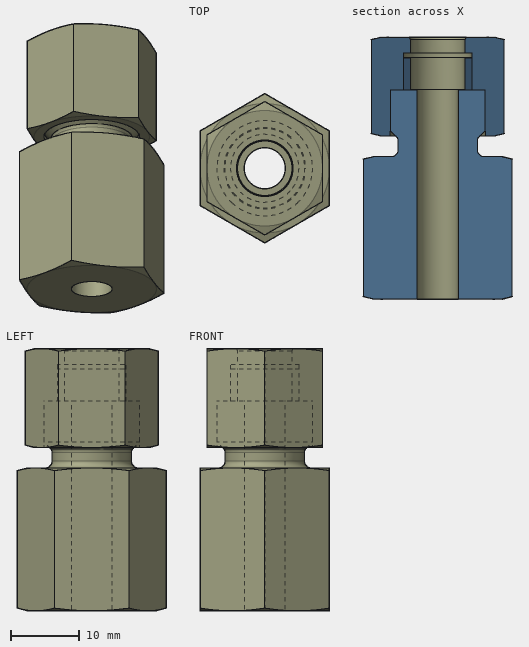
import cadquery as cq
import math

total_height = 38.5
body_hex_height = 21.0
nut_height = 14.5
nut_bottom = total_height - nut_height

body_across_flats = 19.0
nut_across_flats = 16.98
hex_chamfer_angle = 15.0

stud_diameter = 14.0
stud_top = 30.8
neck_diameter = 11.7
neck_fillet = 1.0
relief_arc_bottom = 23.25
relief_arc_angle = 30.0

flow_diameter = 6.0
tube_diameter = 8.0
mouth_chamfer_depth = 0.3
mouth_chamfer_width = 0.15
ferrule_diameter = 10.0
ferrule_top = 35.5
ferrule_gap = 0.65


def cylinder(diameter, bottom, top):
    return cq.Workplane("XY").workplane(offset=bottom).circle(diameter / 2).extrude(top - bottom)


def chamfered_hex(across_flats, bottom, height):
    """Hexagonal prism whose corners are turned off by shallow cones at both ends."""
    flat_radius = across_flats / 2
    corner_radius = flat_radius / math.cos(math.radians(30))
    corner_drop = (corner_radius - flat_radius) * math.tan(math.radians(hex_chamfer_angle))
    top = bottom + height
    prism = (
        cq.Workplane("XY").workplane(offset=bottom)
        .polygon(6, 2 * corner_radius).extrude(height)
        .rotate((0, 0, 0), (0, 0, 1), 30)
    )
    envelope_radius = 2 * corner_radius - flat_radius
    envelope_drop = 2 * corner_drop
    envelope = (
        cq.Workplane("XZ")
        .moveTo(0, bottom)
        .lineTo(flat_radius, bottom)
        .lineTo(envelope_radius, bottom + envelope_drop)
        .lineTo(envelope_radius, top - envelope_drop)
        .lineTo(flat_radius, top)
        .lineTo(0, top)
        .close()
        .revolve(360, (0, 0, 0), (0, 1, 0))
    )
    return prism.intersect(envelope)


def make_stud():
    """Turned stud: filleted foot, relief neck, short arc and 45 degree cone up to full diameter."""
    neck_radius = neck_diameter / 2
    stud_radius = stud_diameter / 2
    arc_center_x = neck_radius + neck_fillet

    def relief_point(angle):
        turn = math.radians(angle)
        return (
            arc_center_x - neck_fillet * math.cos(turn),
            relief_arc_bottom + neck_fillet * math.sin(turn),
        )

    relief_end = relief_point(relief_arc_angle)
    foot_drop = neck_fillet * math.sin(math.radians(45))
    foot_middle = (arc_center_x - foot_drop, body_hex_height + neck_fillet - foot_drop)
    return (
        cq.Workplane("XZ")
        .moveTo(0, body_hex_height)
        .lineTo(arc_center_x, body_hex_height)
        .threePointArc(foot_middle, (neck_radius, body_hex_height + neck_fillet))
        .lineTo(neck_radius, relief_arc_bottom)
        .threePointArc(relief_point(relief_arc_angle / 2), relief_end)
        .lineTo(stud_radius, relief_end[1] + stud_radius - relief_end[0])
        .lineTo(stud_radius, stud_top)
        .lineTo(0, stud_top)
        .close()
        .revolve(360, (0, 0, 0), (0, 1, 0))
    )


def make_body():
    hexagon = chamfered_hex(body_across_flats, 0, body_hex_height)
    return hexagon.union(make_stud()).cut(cylinder(flow_diameter, 0, stud_top))


def make_nut():
    """Union nut: stud bore, ferrule chamber and chamfered tube opening."""
    nut = chamfered_hex(nut_across_flats, nut_bottom, nut_height)
    nut = nut.cut(cylinder(stud_diameter, nut_bottom, stud_top))
    nut = nut.cut(cylinder(ferrule_diameter, stud_top, ferrule_top + ferrule_gap))
    nut = nut.cut(cylinder(tube_diameter, ferrule_top + ferrule_gap, total_height))
    mouth = cq.Solid.makeCone(
        tube_diameter / 2,
        tube_diameter / 2 + mouth_chamfer_width,
        mouth_chamfer_depth,
        pnt=cq.Vector(0, 0, total_height - mouth_chamfer_depth),
    )
    return nut.cut(cq.Workplane(mouth))


def make_ferrule():
    ring = cylinder(ferrule_diameter, stud_top, ferrule_top)
    return ring.cut(cylinder(tube_diameter, stud_top, ferrule_top))


body = make_body()
nut = make_nut()
ferrule = make_ferrule()

result = cq.Compound.makeCompound([body.val(), nut.val(), ferrule.val()])